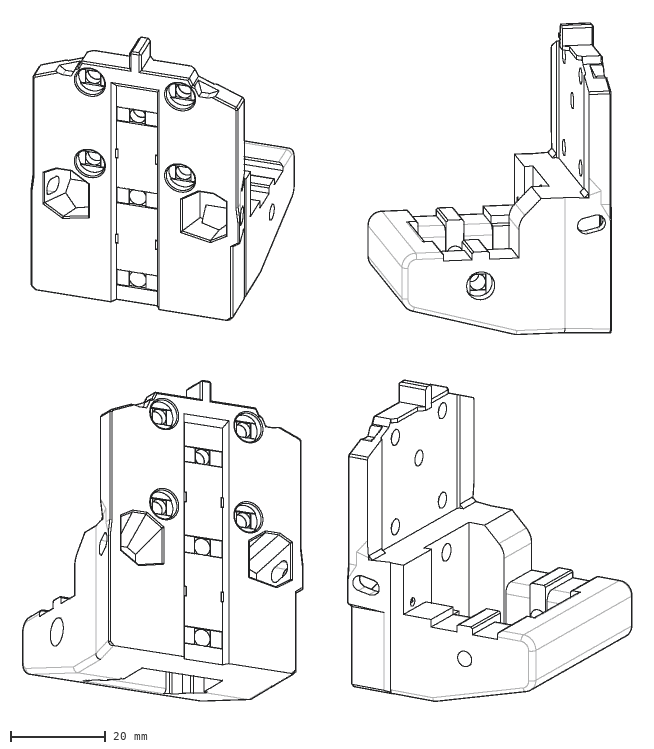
import cadquery as cq
import math

height = 62.0
depth = 44.45
half_width = 23.1

plate_thickness = 4.35
rail_thickness = 4.8
shoulder_half_width = 22.7
shoulder_z = 52.25
shoulder_inner_x = 12.7
shoulder_inner_z = 56.2
shoulder_slope = (shoulder_inner_z - shoulder_z) / (shoulder_half_width - shoulder_inner_x)
shoulder_chamfer = 0.4
crown_half_width = 11.9
crown_z = 57.7
flare_bottom_z = 24.35
flare_top_z = 27.95
front_chamfer = 0.4
corner_chamfer = 0.75

keel_half_width = 1.3
keel_depth = 6.7
keel_flare = 1.1
keel_top_chamfer = 0.55
lip_depth = 5.35
lip_half_width = 10.8
lip_bottom_z = 56.85

body_left_x = -21.2
body_right_x = 21.5
body_top_z = 29.45
taper_end_y = 9.75
taper_top_z = 29.95
edge_radius = 1.1
bump_bottom_z = 18.1
bump_full_z = 19.2

arm_step_y = 19.6
arm_slope_y = 20.15
arm_slope = 0.27
corner_radius = 3.0
cheek_radius = 4.35
cheek_chamfer = 4.8
saddle_z = 16.8
rib_z = 18.5
rib_start_y = 25.85
rib_end_y = 29.65
rear_block_y = 35.7
rib_chamfer = 0.4
window_half_width = 9.55
window_front_y = 11.05
window_rear_y = 37.3
window_lip_radius = 0.85
saddle_half_gap = 10.2
saddle_radius = 2.05
right_cheek_y = 12.9
right_ledge_x = 12.1

channel_half_width = 4.5
channel_flare = 0.8
channel_depth = 1.35
channel_top_z = 52.45
tab_width = 0.4
tab_height = 2.1
tab_depth = 0.25
tab_zs = (35.9, 15.0)

screw_diameter = 3.4
large_screw_diameter = 3.8
bridge_step = 0.3
plate_hole_x = 10.0
plate_hole_zs = (33.1, 53.1)
plate_bore_diameter = 6.3
plate_bore_depth = 1.85
plate_bore_chamfer = 0.28
channel_holes = ((45.5, screw_diameter), (25.6, large_screw_diameter), (5.45, large_screw_diameter))
arm_hole_y = 27.8
arm_hole_z = 11.1
arm_bore_diameter = 6.0
arm_bore_depth = 3.1

pocket_depth = 12.4
pocket_rim = 0.3
ramp_length = 6.2
slot_y = 4.2
slot_z = 23.7
slot_width = 3.4
slot_length = 5.8
slot_tilt = 16.0
slot_inner_x = 16.1
vent_diameter = 1.8
vent_x = 17.6
vent_z = 20.1

clear = 0.6


def block(x0, x1, y0, y1, z0, z1):
    """Axis-aligned box between two corners."""
    return cq.Workplane("XY").box(x1 - x0, y1 - y0, z1 - z0, centered=False).translate((x0, y0, z0))


def prism_along_y(points, y0, y1):
    """Extrude an (x, z) outline from y0 to y1."""
    return cq.Workplane("XZ", origin=(0, y0, 0)).polyline(points).close().extrude(y0 - y1)


def prism_along_z(points, z0, z1):
    """Extrude an (x, y) outline from z0 to z1."""
    return cq.Workplane("XY", origin=(0, 0, z0)).polyline(points).close().extrude(z1 - z0)


def rod_along_y(x, z, diameter, y0, y1):
    """Cylinder parallel to Y."""
    return cq.Workplane("XZ", origin=(x, y0, z)).circle(diameter / 2).extrude(y0 - y1)


def flip_x(points):
    """Mirrored copy of a point list, keeping its left-to-right order."""
    return [(-p[0],) + tuple(p[1:]) for p in reversed(points)]


def ruled_solid(first_loop, second_loop):
    """Straight-sided solid between two loops of 3D points."""
    wires = [
        cq.Wire.makePolygon([cq.Vector(*p) for p in loop], close=True)
        for loop in (first_loop, second_loop)
    ]
    return cq.Workplane(obj=cq.Solid.makeLoft(wires, True))


def tetrahedron(a, b, c, d):
    """Solid with four triangular faces."""
    faces = [
        cq.Face.makeFromWires(cq.Wire.makePolygon([cq.Vector(*p) for p in corners], close=True))
        for corners in ((a, b, c), (a, b, d), (b, c, d), (a, c, d))
    ]
    return cq.Workplane(obj=cq.Solid.makeSolid(cq.Shell.makeShell(faces)))


def make_envelope():
    """Front outline with its edge chamfer, used to trim plate and body together."""
    left_top = [
        (-half_width, flare_bottom_z),
        (-shoulder_half_width, flare_top_z),
        (-shoulder_half_width, shoulder_z - shoulder_chamfer),
        (-shoulder_half_width + shoulder_chamfer, shoulder_z + shoulder_slope * shoulder_chamfer),
        (-shoulder_inner_x, shoulder_inner_z),
        (-crown_half_width, crown_z),
        (-keel_half_width, crown_z),
        (-keel_half_width, height),
    ]
    lower_right = [
        (half_width, bump_full_z),
        (body_right_x, bump_bottom_z),
        (body_right_x, corner_chamfer),
        (body_right_x - corner_chamfer, 0),
    ]
    lower_left = [(-half_width + corner_chamfer, 0), (-half_width, corner_chamfer)]
    outline = left_top + flip_x(left_top) + lower_right + lower_left
    envelope = prism_along_y(outline, 0, taper_end_y)
    return envelope.faces("<Y").edges("not(<Z)").chamfer(front_chamfer)


def make_upright():
    """Plate, keel, lip, rails and the tapered front part of the body."""
    side_slope = (half_width + body_left_x) / taper_end_y
    taper_x = half_width - side_slope * rail_thickness
    taper_meet_y = (half_width - shoulder_half_width) / side_slope

    tapered_body = prism_along_z(
        [(-half_width, 0), (half_width, 0), (-body_left_x, taper_end_y), (body_left_x, taper_end_y)],
        0, body_top_z,
    )
    tapered_body = tapered_body.faces("<Z").edges("<X").fillet(edge_radius)

    plate = block(-half_width, half_width, 0, plate_thickness, body_top_z, crown_z)
    keel = block(-keel_half_width, keel_half_width, 0, keel_depth, lip_bottom_z, height)
    keel = keel.faces(">Z").edges("|Y").chamfer(keel_top_chamfer)

    lip_left = [
        (-crown_half_width, plate_thickness),
        (-lip_half_width, lip_depth),
        (-keel_half_width - keel_flare, lip_depth),
        (-keel_half_width, keel_depth),
    ]
    lip = prism_along_z(lip_left + flip_x(lip_left), lip_bottom_z, crown_z)

    rail_step = rail_thickness - plate_thickness
    rail_inner_x = 16.55
    rail_foot = 0.85
    upright = tapered_body.union(plate).union(keel).union(lip)
    for side in (-1, 1):
        rail = prism_along_z(
            [
                (side * shoulder_half_width, 0),
                (side * (rail_inner_x - rail_step), 0),
                (side * (rail_inner_x - rail_step), plate_thickness),
                (side * rail_inner_x, rail_thickness),
                (side * shoulder_half_width, rail_thickness),
            ],
            body_top_z, crown_z,
        )
        foot = (
            cq.Workplane("YZ", origin=(side * rail_inner_x, 0, 0))
            .moveTo(rail_thickness, body_top_z)
            .lineTo(rail_thickness + rail_foot, body_top_z)
            .lineTo(rail_thickness, body_top_z + rail_foot)
            .close()
            .extrude(side * (taper_x - side_slope * rail_foot - rail_inner_x))
        )
        upright = upright.union(rail).union(foot)

    upright = upright.intersect(make_envelope())

    runout_top_z = 33.85
    runout_front_z = 30.95
    for side in (-1, 1):
        outer_x = side * (half_width + clear)
        taper_cut = prism_along_z(
            [
                (side * shoulder_half_width, taper_meet_y),
                (outer_x, taper_meet_y),
                (outer_x, rail_thickness),
                (side * taper_x, rail_thickness),
            ],
            body_top_z, taper_top_z,
        )
        runout = tetrahedron(
            (side * shoulder_half_width, taper_meet_y, taper_top_z),
            (side * shoulder_half_width, rail_thickness, runout_top_z),
            (side * taper_x, rail_thickness, taper_top_z),
            (side * shoulder_half_width, rail_thickness, taper_top_z),
        )
        runout_front = tetrahedron(
            (side * shoulder_half_width, taper_meet_y, taper_top_z),
            (side * shoulder_half_width, taper_meet_y, runout_front_z),
            (side * shoulder_half_width, rail_thickness, runout_top_z),
            (side * taper_x, rail_thickness, taper_top_z),
        )
        upright = upright.cut(taper_cut).cut(runout).cut(runout_front)
    return upright


def make_arms():
    """Side arms with saddles and ribs, joined by the rear bar."""
    rear_bottom_z = (depth - arm_slope_y) * arm_slope
    profile = [
        (taper_end_y, 0),
        (arm_slope_y, 0),
        (depth, rear_bottom_z),
        (depth, rib_z),
        (rear_block_y, rib_z),
        (rear_block_y, saddle_z),
        (rib_end_y, saddle_z),
        (rib_end_y, rib_z),
        (rib_start_y, rib_z),
        (rib_start_y, saddle_z),
        (arm_step_y, saddle_z),
        (arm_step_y, body_top_z - cheek_chamfer),
        (arm_step_y - cheek_chamfer, body_top_z),
        (taper_end_y, body_top_z),
    ]
    width = body_right_x - body_left_x
    arms = cq.Workplane("YZ", origin=(body_left_x, 0, 0)).polyline(profile).close().extrude(width)
    arms = arms.edges("|X and >Y").fillet(corner_radius)
    cheek_point = (0, arm_step_y, body_top_z - cheek_chamfer)
    arms = arms.edges("|X").edges(cq.NearestToPointSelector(cheek_point)).fillet(cheek_radius)

    for y in (rib_start_y, rib_end_y, rear_block_y):
        arms = arms.edges("|X").edges(cq.NearestToPointSelector((0, y, rib_z))).chamfer(rib_chamfer)

    def rounded_edges(face):
        """Edges of a side face that run along the underside or around the rear bar."""
        kept = []
        for edge in face.Edges():
            middle = edge.Center()
            around_rear_bar = middle.y > rear_block_y + rib_chamfer
            along_underside = middle.z < rear_bottom_z and middle.y > taper_end_y + clear
            if around_rear_bar or along_underside:
                kept.append(edge)
        return kept

    outer_edges = []
    for selector in ("<X", ">X"):
        outer_edges += rounded_edges(arms.faces(selector).val())
    arms = arms.newObject(outer_edges).fillet(edge_radius)

    window = block(
        -window_half_width, window_half_width, window_front_y, window_rear_y, -clear, height)
    arms = arms.cut(window)
    for z in (rib_z, (window_rear_y - arm_slope_y) * arm_slope):
        lip_edge = cq.NearestToPointSelector((0, window_rear_y, z))
        arms = arms.edges("|X").edges(lip_edge).fillet(window_lip_radius)

    for y0, y1 in ((arm_step_y, rib_start_y), (rib_end_y, rear_block_y)):
        gap = block(-saddle_half_gap, saddle_half_gap, y0, y1, -clear, saddle_z)
        arms = arms.cut(gap)
        for side in (-1, 1):
            corner_x = side * saddle_half_gap
            round_x = side * (saddle_half_gap + saddle_radius)
            bend = saddle_radius * (1 - math.sqrt(0.5))
            corner = (
                cq.Workplane("XZ", origin=(0, y0, 0))
                .moveTo(corner_x, saddle_z)
                .lineTo(corner_x, saddle_z - saddle_radius)
                .threePointArc((corner_x + side * bend, saddle_z - bend), (round_x, saddle_z))
                .close()
                .extrude(y0 - y1)
            )
            arms = arms.cut(corner)

    shelf = block(right_ledge_x, half_width, right_cheek_y, arm_step_y, rib_z, height)
    ledge = block(0, right_ledge_x, right_cheek_y, arm_step_y, saddle_z, height)
    return arms.cut(shelf).cut(ledge)


def bridged_hole(diameter, band_width, length):
    """Hole along +Z from the origin: a shallow band, then a square, then the round bore."""
    band = cq.Workplane("XY").rect(band_width, diameter).extrude(bridge_step)
    square = cq.Workplane("XY").rect(diameter, diameter).extrude(2 * bridge_step)
    bore = cq.Workplane("XY").circle(diameter / 2).extrude(length)
    return band.union(square).union(bore)


def counterbored_hole(bore_diameter, bore_depth, length):
    """Bridged screw hole along +Z with a round head recess starting at the origin."""
    head = cq.Workplane("XY").circle(bore_diameter / 2).extrude(bore_depth)
    screw = bridged_hole(screw_diameter, bore_diameter, length).translate((0, 0, bore_depth))
    band_limit = cq.Workplane("XY").circle(bore_diameter / 2).extrude(bore_depth + length)
    return head.union(screw.intersect(band_limit))


def along_y(solid):
    """Turn a solid built along +Z so that it points along +Y."""
    return solid.rotate((0, 0, 0), (1, 0, 0), -90)


def cut_channel(part):
    """Flared channel in the front face with small clip tabs and three screw holes."""
    open_half_width = channel_half_width + channel_flare
    channel = ruled_solid(
        [
            (-open_half_width, 0, -clear),
            (open_half_width, 0, -clear),
            (open_half_width, 0, channel_top_z + channel_depth),
            (-open_half_width, 0, channel_top_z + channel_depth),
        ],
        [
            (-channel_half_width, channel_depth, -clear),
            (channel_half_width, channel_depth, -clear),
            (channel_half_width, channel_depth, channel_top_z),
            (-channel_half_width, channel_depth, channel_top_z),
        ],
    )
    for z in tab_zs:
        for side in (-1, 1):
            tab = cq.Workplane("XY").box(2 * tab_width, tab_depth, tab_height)
            channel = channel.cut(
                tab.translate((side * channel_half_width, channel_depth - tab_depth / 2, z)))
    part = part.cut(channel)
    for z, diameter in channel_holes:
        hole = along_y(bridged_hole(diameter, 2 * channel_half_width, window_front_y))
        part = part.cut(hole.translate((0, channel_depth, z)))
    return part


def cut_plate_holes(part):
    """Four counterbored screw holes through the plate."""
    hole = along_y(counterbored_hole(plate_bore_diameter, plate_bore_depth, rail_thickness))
    rim_radius = plate_bore_diameter / 2 + plate_bore_chamfer
    rim_cone = cq.Solid.makeCone(rim_radius, plate_bore_diameter / 2, plate_bore_chamfer)
    rim = along_y(cq.Workplane(obj=rim_cone))
    for x in (-plate_hole_x, plate_hole_x):
        for z in plate_hole_zs:
            part = part.cut(hole.union(rim).translate((x, 0, z)))
    return part


def cut_arm_hole(part):
    """Screw hole across both arms with its head recess on the left side."""
    across = counterbored_hole(arm_bore_diameter, arm_bore_depth, 2 * half_width)
    across = across.rotate((0, 0, 0), (0, 1, 0), 90)
    return part.cut(across.translate((body_left_x, arm_hole_y, arm_hole_z)))


def cut_shoulder_notches(part):
    """Tapered notch in the front of each sloping shoulder."""
    top_outer, top_inner, top_depth = 17.7, 13.1, 2.9
    floor_outer, floor_inner, floor_depth = 15.95, 14.15, 1.9
    floor_z = 53.8
    outer_z = shoulder_inner_z - shoulder_slope * (top_outer - shoulder_inner_x)
    inner_z = shoulder_inner_z - shoulder_slope * (top_inner - shoulder_inner_x)
    for side in (-1, 1):
        notch = ruled_solid(
            [
                (side * floor_outer, -clear, floor_z),
                (side * floor_inner, -clear, floor_z),
                (side * floor_inner, floor_depth, floor_z),
                (side * floor_outer, floor_depth, floor_z),
            ],
            [
                (side * top_outer, -clear, outer_z),
                (side * top_inner, -clear, inner_z),
                (side * top_inner, top_depth, inner_z),
                (side * top_outer, top_depth, outer_z),
            ],
        )
        part = part.cut(notch)
    return part


def cut_nut_pocket(part, side, mouth_low, ramp_inner_x, ramp_top_z):
    """Seven-sided nut pocket that narrows and drops with depth, with a 45-degree ramp at its back."""
    mouth_top = [(20.1, 28.95), (17.35, 30.4), (14.15, 30.4), (10.35, 27.85)]
    back_top = [(18.2, 25.35), (15.25, 26.7), (12.4, 26.7), (10.4, 25.4)]
    back_low = [(10.5, 16.5), (15.5, 15.4), (18.2, 18.0)]
    mouth = [(side * x, z) for x, z in mouth_top + mouth_low]
    back = [(side * x, z) for x, z in back_top + back_low]

    rim = (
        cq.Workplane("XZ", origin=(0, pocket_rim, 0))
        .polyline(mouth).close()
        .extrude(pocket_rim, taper=-45)
    )
    pocket = ruled_solid(
        [(x, pocket_rim, z) for x, z in mouth],
        [(x, pocket_depth, z) for x, z in back],
    )
    ramp_profile = [
        (pocket_depth - ramp_length, ramp_top_z - ramp_length),
        (pocket_depth, ramp_top_z),
        (pocket_depth, ramp_top_z - ramp_length),
    ]
    ramp = (
        cq.Workplane("YZ", origin=(side * ramp_inner_x, 0, 0))
        .polyline(ramp_profile).close()
        .extrude(side * (half_width - ramp_inner_x))
    )
    slot = (
        cq.Workplane("YZ", origin=(side * (half_width + clear), slot_y, slot_z))
        .slot2D(slot_length, slot_width, -slot_tilt)
        .extrude(-side * (half_width + clear - slot_inner_x))
    )
    return part.cut(pocket.cut(ramp)).cut(rim).cut(slot)


result = make_upright().union(make_arms())
result = cut_channel(result)
result = cut_plate_holes(result)
result = cut_arm_hole(result)
result = cut_shoulder_notches(result)
result = cut_nut_pocket(
    result, -1,
    mouth_low=[(10.35, 20.0), (15.95, 18.9), (20.1, 21.6)],
    ramp_inner_x=12.6, ramp_top_z=20.85,
)
result = cut_nut_pocket(
    result, 1,
    mouth_low=[(10.35, 20.0), (16.6, 18.8), (20.1, 20.9)],
    ramp_inner_x=11.8, ramp_top_z=19.85,
)
vent = rod_along_y(vent_x, vent_z, vent_diameter, pocket_depth / 2, right_cheek_y + clear)
result = result.cut(vent)